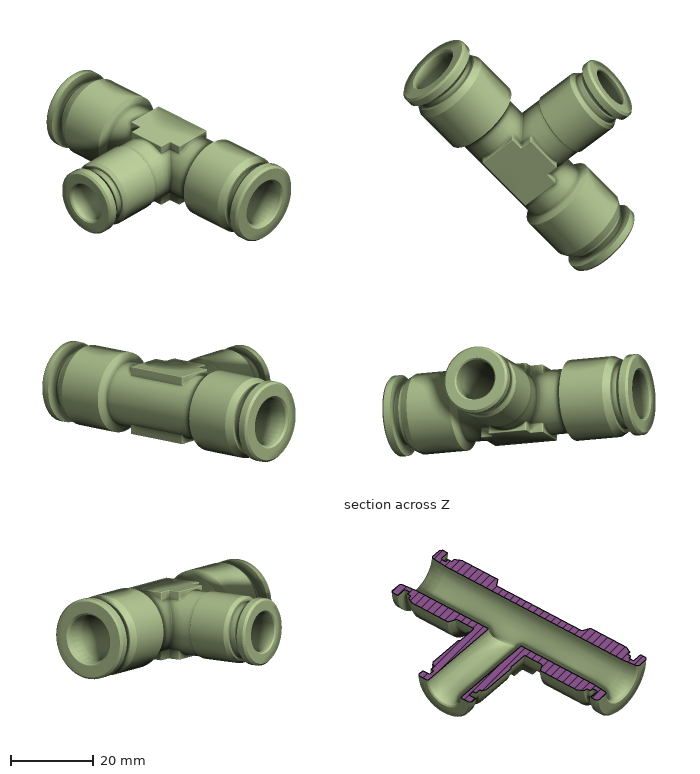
import cadquery as cq


RUN_LENGTH = 64.0
RUN_REACH = RUN_LENGTH / 2
RUN_DIAMETER = 19.8
BRANCH_REACH = 29.6
TEE_RADIUS = 7.9
RUN_RADIUS = RUN_DIAMETER / 2

RUN_COLLAR_START = 13.2
BRANCH_COLLAR_START = 13.25

COLLET_EDGE = 0.5
ROOT_FILLET = 0.25

RUN_LEAD_IN = 0.45
RUN_MOUTH_RADIUS = 6.0
RUN_MOUTH_DEPTH = 4.6
RUN_PASSAGE_RADIUS = 5.6
BRANCH_LEAD_IN = 0.3
BRANCH_BORE_RADIUS = 5.0

PAD_HEIGHT = 8.45
PAD_HALF_LENGTH = 8.05
PAD_HALF_WIDTH = 4.9
PAD_TONGUE_REACH = 8.0
PAD_FILLET = 0.25
PAD_RIM_FILLET = 0.16

TOLERANCE = 0.005


def revolved(profile):
    """Solid of revolution about X from (distance, radius) points."""
    start = profile[0][0]
    end = profile[-1][0]
    outline = [(start, 0), *profile, (end, 0)]
    return cq.Workplane("XY").polyline(outline).close().revolve(360, (0, 0, 0), (1, 0, 0))


def to_branch(shape):
    """Turn a shape lying along +X so that it lies along -Y."""
    return shape.rotate((0, 0, 0), (0, 0, 1), -90)


def both_ends(shape):
    """Join a run shape with its mirror image on the -X side."""
    return shape.union(shape.mirror("YZ"))


def fillet_root(shape, distance, radius):
    """Fillet the circular edge with the given place along X and radius."""
    def is_root(edge):
        return (
            edge.geomType() == "CIRCLE"
            and abs(edge.Center().x - distance) < TOLERANCE
            and abs(edge.radius() - radius) < TOLERANCE
        )

    return shape.edges().filter(is_root).fillet(ROOT_FILLET)


def push_in_arm(reach, outer_radius, collar_start, collar_taper, collar_end, chamfer_length,
                chamfer_drop, sleeve_radius, sleeve_end, neck_radius, flange_width):
    """Arm along +X: tube, thick collar, short sleeve, narrow neck and end flange."""
    flange_face = reach - flange_width
    shape = revolved([
        (0, TEE_RADIUS),
        (collar_start, TEE_RADIUS),
        (collar_start + collar_taper, outer_radius),
        (collar_end - chamfer_length, outer_radius),
        (collar_end, outer_radius - chamfer_drop),
        (collar_end, sleeve_radius),
        (sleeve_end, sleeve_radius),
        (sleeve_end, neck_radius),
        (flange_face, neck_radius),
        (flange_face, outer_radius),
        (reach - COLLET_EDGE, outer_radius),
        (reach, outer_radius - COLLET_EDGE),
    ])
    return fillet_root(shape, flange_face, neck_radius)


def run_arm():
    shape = push_in_arm(
        reach=RUN_REACH,
        outer_radius=RUN_RADIUS,
        collar_start=RUN_COLLAR_START,
        collar_taper=1.1,
        collar_end=27.2,
        chamfer_length=1.7,
        chamfer_drop=0.9,
        sleeve_radius=8.05,
        sleeve_end=28.35,
        neck_radius=7.1,
        flange_width=2.25,
    )
    return fillet_root(shape, RUN_COLLAR_START, TEE_RADIUS)


def branch_arm():
    return to_branch(push_in_arm(
        reach=BRANCH_REACH,
        outer_radius=8.25,
        collar_start=BRANCH_COLLAR_START,
        collar_taper=0.3,
        collar_end=24.4,
        chamfer_length=0.95,
        chamfer_drop=0.6,
        sleeve_radius=7.05,
        sleeve_end=25.9,
        neck_radius=6.15,
        flange_width=2.2,
    ))


def pads():
    """T-shaped block whose ends stand out of the tubes as the two pads."""
    outline = [
        (-PAD_HALF_LENGTH, PAD_HALF_WIDTH),
        (PAD_HALF_LENGTH, PAD_HALF_WIDTH),
        (PAD_HALF_LENGTH, -PAD_HALF_WIDTH),
        (PAD_HALF_WIDTH, -PAD_HALF_WIDTH),
        (PAD_HALF_WIDTH, -PAD_TONGUE_REACH),
        (-PAD_HALF_WIDTH, -PAD_TONGUE_REACH),
        (-PAD_HALF_WIDTH, -PAD_HALF_WIDTH),
        (-PAD_HALF_LENGTH, -PAD_HALF_WIDTH),
    ]
    return cq.Workplane("XY").polyline(outline).close().extrude(PAD_HEIGHT, both=True)


def is_pad_or_crease_edge(edge):
    """True for upright pad edges, pad base edges and the crease between run and branch."""
    box = edge.BoundingBox()
    lies_on_rim = box.zmin > TEE_RADIUS + TOLERANCE or box.zmax < -TEE_RADIUS - TOLERANCE
    is_seam = box.zmax < TOLERANCE and box.zmin > -TOLERANCE
    is_tube_end = max(box.xlen, box.ylen) > 2 * TEE_RADIUS - TOLERANCE
    return not (lies_on_rim or is_seam or is_tube_end)


def tee_centre():
    run_end = RUN_COLLAR_START - ROOT_FILLET
    run = revolved([(-run_end, TEE_RADIUS), (run_end, TEE_RADIUS)])
    branch = to_branch(revolved([(0, TEE_RADIUS), (BRANCH_COLLAR_START, TEE_RADIUS)]))
    centre = run.union(branch).union(pads())
    centre = centre.edges().filter(is_pad_or_crease_edge).fillet(PAD_FILLET)
    return centre.faces("<Z or >Z").edges().fillet(PAD_RIM_FILLET)


def run_bore():
    return both_ends(revolved([
        (0, RUN_PASSAGE_RADIUS),
        (RUN_REACH - RUN_MOUTH_DEPTH, RUN_PASSAGE_RADIUS),
        (RUN_REACH - RUN_LEAD_IN, RUN_MOUTH_RADIUS),
        (RUN_REACH, RUN_MOUTH_RADIUS + RUN_LEAD_IN),
    ]))


def branch_bore():
    return to_branch(revolved([
        (0, BRANCH_BORE_RADIUS),
        (BRANCH_REACH - BRANCH_LEAD_IN, BRANCH_BORE_RADIUS),
        (BRANCH_REACH, BRANCH_BORE_RADIUS + BRANCH_LEAD_IN),
    ]))


body = tee_centre().union(both_ends(run_arm())).union(branch_arm())
result = body.cut(run_bore()).cut(branch_bore())